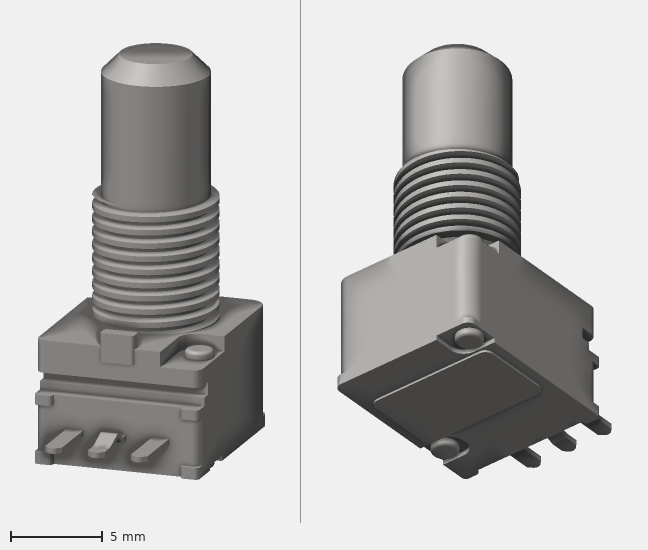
import cadquery as cq
import math


WIDTH = 9.5
BACK_Y = 4.83
FRONT_Y = -6.25
BASE_BOTTOM = 0.13
SPLIT_Z = 4.55
COVER_TOP = 7.1
FRONT_CORNER = 0.5
BACK_CORNER = 1.0

SHAFT_DIAMETER = 6.0
SHAFT_TOP = 22.05
SHAFT_CHAMFER = 1.0
THREAD_DIAMETER = 6.95
THREAD_TOP = 14.07
THREAD_PITCH = 0.75
THREAD_START = 6.3
THREAD_ROOT_HEIGHT = 0.57
THREAD_CREST_HEIGHT = 0.3
THREAD_EMBED = 0.07

NOTCH_Y = -4.96
NOTCH_TOP = 5.25
TAB_WIDTH = 1.96
TAB_BACK_Y = -5.6
TAB_FRONT_Y = -6.42
TAB_BOTTOM = 6.25
TAB_TOP = 7.9
TAB_CORNER = 0.2

RIVET_X = 3.81
RIVET_Y = 3.65
RIVET_DIAMETER = 1.6
RIVET_ROUNDING = 0.22
RIVET_TOP = 6.73
POCKET_INNER_X = 2.45
POCKET_INNER_Y = 2.27
POCKET_CORNER = 1.0
POCKET_FLOOR = 6.25
LOWER_POCKET_INNER_Y = 2.67
LOWER_POCKET_ROOF = 0.42
LOWER_POCKET_CORNER = 0.88

LEDGE_Y = -5.53
LEDGE_Z = 4.05
FLANGE_TOP = 0.8
FLANGE_CORNER = 0.5
FOOT_WIDTH = 1.05
FOOT_FRONT_Y = -6.55
FOOT_CORNER = 0.25
UPPER_FOOT_BOTTOM = 3.48
PLATE_WIDTH = 8.2
PLATE_LENGTH = 5.03
PLATE_CORNER = 0.53

TERMINAL_SPACING = 2.47
TERMINAL_WIDTH = 0.97
TERMINAL_TIP_Y = -10.03
TERMINAL_TOP = 2.2
TERMINAL_THICKNESS = 0.3
TERMINAL_BEVEL = 0.25
TERMINAL_NOSE = 0.09
KINK_START_Y = -6.8
KINK_PEAK_Y = -7.52
KINK_END_Y = -8.86
KINK_HEIGHT = 0.49
KINK_PEAK_RADIUS = 0.53
KINK_END_RADIUS = 1.0


def box(x_min, x_max, y_min, y_max, z_min, z_max):
    """Axis-aligned box between the given limits."""
    return cq.Workplane("XY").box(
        x_max - x_min, y_max - y_min, z_max - z_min, centered=False
    ).translate((x_min, y_min, z_min))


def housing_block(z_min, z_max, front_y=FRONT_Y, back_corner=BACK_CORNER):
    """Full-width block of the housing with rounded back corners."""
    block = box(-WIDTH / 2, WIDTH / 2, front_y, BACK_Y, z_min, z_max)
    return block.edges("|Z and >Y").fillet(back_corner)


def rivet_head(z_seat, z_end):
    """Round rivet head from its seat to its rounded end, on the shaft axis."""
    head = cq.Workplane("XY").workplane(offset=z_seat).circle(RIVET_DIAMETER / 2).extrude(z_end - z_seat)
    return head.edges(">Z" if z_end > z_seat else "<Z").fillet(RIVET_ROUNDING)


def threaded_shaft():
    """Shaft with a chamfered end and a right-hand thread standing on its lower length."""
    shaft_radius = SHAFT_DIAMETER / 2
    ridge_inner = shaft_radius - THREAD_EMBED
    ridge_outer = THREAD_DIAMETER / 2
    shaft = cq.Workplane("XY").workplane(offset=COVER_TOP).circle(shaft_radius).extrude(SHAFT_TOP - COVER_TOP)
    shaft = shaft.faces(">Z").chamfer(SHAFT_CHAMFER)

    turns = math.ceil((THREAD_TOP - THREAD_START) / THREAD_PITCH) + 1
    helix = cq.Wire.makeHelix(THREAD_PITCH, turns * THREAD_PITCH, shaft_radius)
    ridge = (
        cq.Workplane("XZ")
        .polyline([
            (ridge_inner, -THREAD_ROOT_HEIGHT / 2),
            (ridge_outer, -THREAD_CREST_HEIGHT / 2),
            (ridge_outer, THREAD_CREST_HEIGHT / 2),
            (ridge_inner, THREAD_ROOT_HEIGHT / 2),
        ])
        .close()
        .sweep(cq.Workplane(helix), isFrenet=True)
        .translate((0, 0, THREAD_START))
    )
    threaded_length = (
        cq.Workplane("XY").workplane(offset=COVER_TOP).circle(THREAD_DIAMETER).extrude(THREAD_TOP - COVER_TOP)
    )
    return shaft.union(ridge.intersect(threaded_length))


def make_cover():
    """Upper housing with its shaft, front notch, tab, and two rivet pockets."""
    cover = housing_block(SPLIT_Z, COVER_TOP).edges("|Z and <Y").fillet(FRONT_CORNER)
    cover = cover.cut(box(-WIDTH / 2, WIDTH / 2, FRONT_Y, NOTCH_Y, SPLIT_Z, NOTCH_TOP))

    back_pocket = box(-WIDTH / 2, -POCKET_INNER_X, POCKET_INNER_Y, BACK_Y, POCKET_FLOOR, COVER_TOP)
    front_pocket = box(POCKET_INNER_X, WIDTH / 2, FRONT_Y, -POCKET_INNER_Y, POCKET_FLOOR, COVER_TOP)
    cover = cover.cut(back_pocket.edges("|Z and >X and <Y").fillet(POCKET_CORNER))
    cover = cover.cut(front_pocket.edges("|Z and <X and >Y").fillet(POCKET_CORNER))

    head = rivet_head(POCKET_FLOOR, RIVET_TOP)
    for side in (-1, 1):
        cover = cover.union(head.translate((side * RIVET_X, -side * RIVET_Y, 0)))

    tab = box(-TAB_WIDTH / 2, TAB_WIDTH / 2, TAB_FRONT_Y, TAB_BACK_Y, TAB_BOTTOM, TAB_TOP)
    return cover.union(tab.edges("|Z").fillet(TAB_CORNER)).union(threaded_shaft())


def foot(side, z_min, z_max):
    """Foot at one front corner; side is -1 for -X and +1 for +X."""
    block = box(-FOOT_WIDTH / 2, FOOT_WIDTH / 2, FOOT_FRONT_Y, LEDGE_Y, z_min, z_max)
    block = block.edges("|Z and <Y").fillet(FOOT_CORNER)
    return block.translate((side * (WIDTH - FOOT_WIDTH) / 2, 0, 0))


def terminal_blank(x_center, z_min, z_max):
    """Straight flat bar between two heights, its tip bevelled at both corners and rounded at the nose."""
    half_width = TERMINAL_WIDTH / 2
    nose_half_width = half_width - TERMINAL_BEVEL
    nose_start_y = TERMINAL_TIP_Y + TERMINAL_NOSE
    bevel_start_y = nose_start_y + TERMINAL_BEVEL
    return (
        cq.Workplane("XY")
        .workplane(offset=z_min)
        .moveTo(-half_width, FRONT_Y)
        .lineTo(-half_width, bevel_start_y)
        .lineTo(-nose_half_width, nose_start_y)
        .threePointArc((0, TERMINAL_TIP_Y), (nose_half_width, nose_start_y))
        .lineTo(half_width, bevel_start_y)
        .lineTo(half_width, FRONT_Y)
        .close()
        .extrude(z_max - z_min)
        .translate((x_center, 0, 0))
    )


def straight_terminal(x_center):
    return terminal_blank(x_center, TERMINAL_TOP - TERMINAL_THICKNESS, TERMINAL_TOP)


def kinked_terminal():
    """Middle terminal, bent up into a rounded peak."""
    bottom = TERMINAL_TOP - TERMINAL_THICKNESS
    top_line = [
        (FRONT_Y, TERMINAL_TOP),
        (KINK_START_Y, TERMINAL_TOP),
        (KINK_PEAK_Y, TERMINAL_TOP + KINK_HEIGHT),
        (KINK_END_Y, TERMINAL_TOP),
        (TERMINAL_TIP_Y, TERMINAL_TOP),
    ]
    bottom_line = [(y, z - TERMINAL_THICKNESS) for y, z in reversed(top_line)]
    strip = cq.Workplane("YZ").polyline(top_line + bottom_line).close().extrude(TERMINAL_WIDTH / 2, both=True)
    peak_z = TERMINAL_TOP + KINK_HEIGHT
    strip = strip.edges(cq.NearestToPointSelector((0, KINK_PEAK_Y, peak_z))).fillet(KINK_PEAK_RADIUS)
    strip = strip.edges(cq.NearestToPointSelector((0, KINK_END_Y, TERMINAL_TOP))).fillet(KINK_END_RADIUS)
    return strip.intersect(terminal_blank(0, bottom, peak_z))


def make_base():
    """Lower housing with its front ledge, feet, terminals, bottom plate, and lower rivets."""
    wall = housing_block(BASE_BOTTOM, LEDGE_Z).edges("|Z and <Y").fillet(FRONT_CORNER)
    base = wall.union(housing_block(LEDGE_Z, SPLIT_Z, front_y=LEDGE_Y))
    base = base.union(housing_block(BASE_BOTTOM, FLANGE_TOP, LEDGE_Y, FLANGE_CORNER))

    for side in (-1, 1):
        base = base.union(foot(side, BASE_BOTTOM, FLANGE_TOP))
        base = base.union(foot(side, UPPER_FOOT_BOTTOM, LEDGE_Z))
        base = base.union(straight_terminal(side * TERMINAL_SPACING))
    base = base.union(kinked_terminal())

    plate = box(-PLATE_WIDTH / 2, PLATE_WIDTH / 2, -PLATE_LENGTH / 2, PLATE_LENGTH / 2, 0, BASE_BOTTOM)
    base = base.union(plate.edges("|Z").fillet(PLATE_CORNER))

    back_pocket = box(
        -WIDTH / 2, -POCKET_INNER_X, LOWER_POCKET_INNER_Y, BACK_Y, BASE_BOTTOM, LOWER_POCKET_ROOF
    ).edges("|Z and >X and <Y").fillet(LOWER_POCKET_CORNER)
    closed_pocket_end = 2 * RIVET_Y - LOWER_POCKET_INNER_Y
    front_pocket = box(
        POCKET_INNER_X, WIDTH / 2, -closed_pocket_end, -LOWER_POCKET_INNER_Y, BASE_BOTTOM, LOWER_POCKET_ROOF
    ).edges("|Z and <X").fillet(LOWER_POCKET_CORNER)
    base = base.cut(back_pocket).cut(front_pocket)

    head = rivet_head(LOWER_POCKET_ROOF, 0)
    for side in (-1, 1):
        base = base.union(head.translate((side * RIVET_X, -side * RIVET_Y, 0)))
    return base


cover = make_cover()
base = make_base()

result = cq.Compound.makeCompound([cover.solids().val(), base.solids().val()])